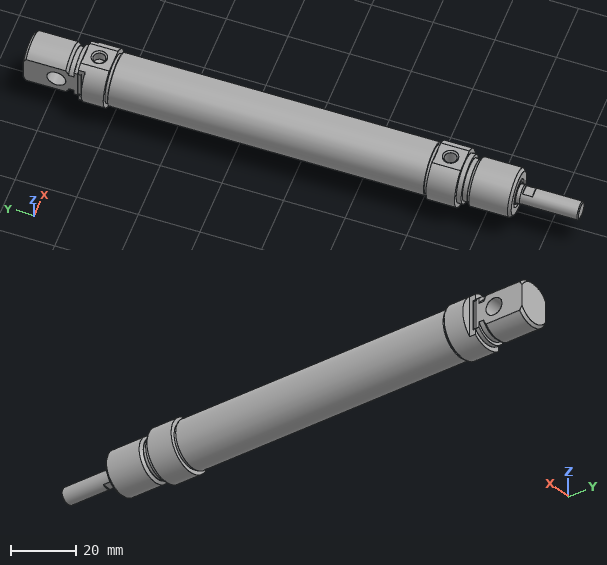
import cadquery as cq
import math

clevis_end_y = 179.0
spanner_flat_start_y = 15.2
spanner_flat_length = 3.2
wiper_lip_front_y = 19.0
head_front_y = 20.2
nose_back_y = 34.5
head_collar_front_y = 36.2
head_flange_front_y = 37.8
head_flange_back_y = 47.0
cap_flange_front_y = 151.8
cap_flange_back_y = 161.1
cap_collar_back_y = 162.5
clevis_front_y = 164.3

flange_diameter = 19.0
barrel_diameter = 17.2
spigot_diameter = 16.0
nose_diameter = 16.0
relief_diameter = 13.8
wiper_recess_diameter = 9.1
rod_diameter = 6.0
pivot_hole_diameter = 6.0
wiper_ring_diameter = 7.2
wiper_lip_diameter = 6.3
port_diameter = 4.0
port_mouth_diameter = 5.0

spigot_length = 1.0
port_flat_height = 8.6
port_mouth_depth = 0.5
blind_port_depth = 3.5
port_drill_angle = 118.0
wiper_recess_depth = 1.8
nose_chamfer = 0.9
clevis_width = 12.0
clevis_notch_end_y = 159.0
pivot_hole_y = 168.3
spanner_width = 5.0
rod_chamfer = 0.4
side_slot_start_y = 160.2
side_slot_width = 1.3
side_slot_depth = 0.5

rod_end_y = head_flange_back_y + spigot_length


def cylinder(diameter, start_y, end_y):
    """Solid cylinder on the Y axis between two stations."""
    plane = cq.Workplane("XZ", origin=(0, start_y, 0))
    return plane.circle(diameter / 2).extrude(start_y - end_y)


def flat_topped_flange(start_y, end_y):
    """Round flange with a flat on top for a port."""
    length = end_y - start_y
    middle_y = (start_y + end_y) / 2
    above_flat = cq.Workplane().box(
        flange_diameter, length, flange_diameter, centered=(True, True, False)
    ).translate((0, middle_y, port_flat_height))
    return cylinder(flange_diameter, start_y, end_y).cut(above_flat)


def port_cutter(middle_y, depth):
    """Drilled port below the flat: chamfered mouth, straight bore and conical bottom."""
    mouth_radius = port_mouth_diameter / 2
    radius = port_diameter / 2
    mouth_z = port_flat_height - port_mouth_depth
    bottom_z = port_flat_height - depth
    tip_z = bottom_z - radius / math.tan(math.radians(port_drill_angle / 2))
    return (
        cq.Workplane("XZ", origin=(0, middle_y, 0))
        .moveTo(0, port_flat_height)
        .lineTo(mouth_radius, port_flat_height)
        .lineTo(radius, mouth_z)
        .lineTo(radius, bottom_z)
        .lineTo(0, tip_z)
        .close()
        .revolve(360, (0, 0, 0), (0, 1, 0))
    )


def make_barrel():
    """Plain round barrel between the spigots of the head and the end cap."""
    return cylinder(barrel_diameter, rod_end_y, cap_flange_front_y - spigot_length)


def make_head():
    """Rod-end head: nose with rod wiper, relief, collar, ported flange, spigot."""
    nose = cylinder(nose_diameter, head_front_y, nose_back_y).edges().chamfer(nose_chamfer)
    relief = cylinder(relief_diameter, nose_back_y - nose_chamfer, head_collar_front_y)
    collar = cylinder(nose_diameter, head_collar_front_y, head_flange_front_y)
    flange = flat_topped_flange(head_flange_front_y, head_flange_back_y)
    spigot = cylinder(spigot_diameter, head_flange_back_y, head_flange_back_y + spigot_length)
    wiper_recess = cylinder(wiper_recess_diameter, head_front_y, head_front_y + wiper_recess_depth)
    wiper_ring = cylinder(wiper_ring_diameter, head_front_y, head_front_y + wiper_recess_depth)
    wiper_lip = cylinder(wiper_lip_diameter, wiper_lip_front_y, head_front_y)
    rod_bore = cylinder(rod_diameter, wiper_lip_front_y, rod_end_y)
    port = port_cutter((head_flange_front_y + head_flange_back_y) / 2, port_flat_height - rod_diameter / 2)
    head = nose.union(relief).union(collar).union(flange).union(spigot)
    head = head.cut(wiper_recess).union(wiper_ring).union(wiper_lip)
    return head.cut(rod_bore).cut(port)


def make_end_cap():
    """Rear cap: spigot, ported flange, collar, relief and a flat-sided clevis lug."""
    spigot = cylinder(spigot_diameter, cap_flange_front_y - spigot_length, cap_flange_front_y)
    flange = flat_topped_flange(cap_flange_front_y, cap_flange_back_y)
    collar = cylinder(nose_diameter, cap_flange_back_y, cap_collar_back_y)
    relief = cylinder(relief_diameter, cap_collar_back_y, clevis_front_y + nose_chamfer)
    lug = cylinder(nose_diameter, clevis_front_y, clevis_end_y).edges().chamfer(nose_chamfer)
    cap = spigot.union(flange).union(collar).union(relief).union(lug)

    slot_length = math.sqrt(nose_diameter**2 - clevis_width**2)
    side_length = clevis_end_y - clevis_notch_end_y
    for side in (-1, 1):
        side_cut = cq.Workplane().box(flange_diameter, side_length, flange_diameter).translate(
            (side * (clevis_width + flange_diameter) / 2, clevis_notch_end_y + side_length / 2, 0)
        )
        side_slot = cq.Workplane().box(2 * side_slot_depth, side_slot_width, slot_length).translate(
            (side * clevis_width / 2, side_slot_start_y + side_slot_width / 2, 0)
        )
        cap = cap.cut(side_cut).cut(side_slot)

    pivot_hole = (
        cq.Workplane("YZ", origin=(0, pivot_hole_y, 0))
        .circle(pivot_hole_diameter / 2)
        .extrude(clevis_width, both=True)
    )
    port = port_cutter((cap_flange_front_y + cap_flange_back_y) / 2, blind_port_depth)
    return cap.cut(pivot_hole).cut(port)


def make_rod():
    """Piston rod with two spanner flats just in front of the head."""
    rod = cylinder(rod_diameter, 0, rod_end_y).faces("<Y").chamfer(rod_chamfer)
    for side in (-1, 1):
        flat_cut = cq.Workplane().box(rod_diameter, spanner_flat_length, rod_diameter).translate(
            (0, spanner_flat_start_y + spanner_flat_length / 2, side * (spanner_width + rod_diameter) / 2)
        )
        rod = rod.cut(flat_cut)
    return rod


barrel = make_barrel()
head = make_head()
end_cap = make_end_cap()
rod = make_rod()

result = cq.Compound.makeCompound([barrel.val(), head.val(), end_cap.val(), rod.val()])